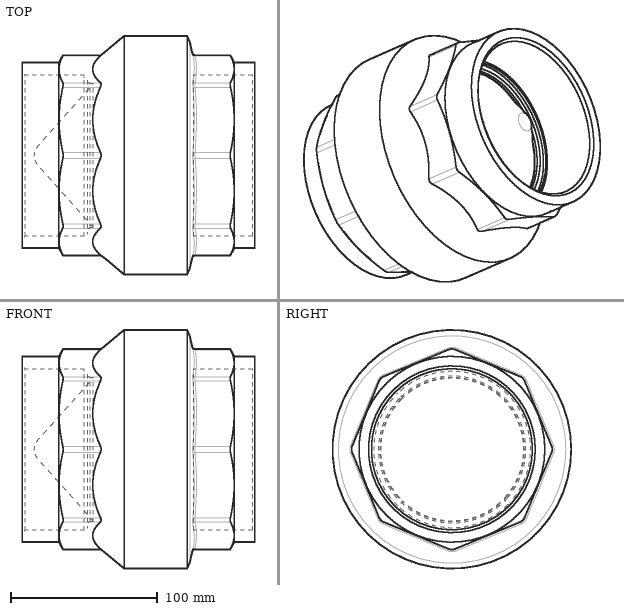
import cadquery as cq
import math

length = 159.0
inlet_rim_length = 25.1
outlet_rim_length = 14.0
corner_chamfer_length = 3.0
drum_start = 69.6
drum_end = 112.6
shoulder_start = 114.5
shoulder_end = 116.5

drum_radius = 81.5
shoulder_radius = 77.6
rim_radius = 63.4

flat_count = 8
corner_radius = 68.5
corner_fillet = 5.5
half_sector = math.pi / flat_count
sharp_corner_radius = corner_radius + corner_fillet * (1 / math.cos(half_sector) - 1)
octagon_start = inlet_rim_length
octagon_end = length - outlet_rim_length
shoulder_fillet = 1.6
root_overlap = 3.3

inlet_cone_length = 15.6

bore_radius = 55.0
bore_depth = 42.0
mouth_chamfer = 2.0

ledge_radius = 53.5
ledge_depth = 44.3
seat_outer_radius = 50.2
seat_inner_radius = 49.2
seat_depth = 46.3
floor_depth = 48.2

disc_radius = 48.7
disc_half_angle = math.radians(48.3)
tip_radius = 9.8


def revolve_about_x(profile):
    """Turn a closed (x, radius) profile about the X axis."""
    return profile.close().revolve(360, (0, 0, 0), (1, 0, 0))


def make_rims():
    return cq.Workplane("YZ").circle(rim_radius).extrude(length)


def make_octagon():
    prism = (
        cq.Workplane("YZ", origin=(octagon_start, 0, 0))
        .polygon(flat_count, 2 * sharp_corner_radius)
        .extrude(octagon_end - octagon_start)
        .edges("|X")
        .fillet(corner_fillet)
    )
    chamfer_slope = (corner_radius - rim_radius) / corner_chamfer_length
    chamfer_reach = (sharp_corner_radius - rim_radius) / chamfer_slope
    envelope = revolve_about_x(
        cq.Workplane("XY")
        .moveTo(octagon_start, 0)
        .lineTo(octagon_start, rim_radius)
        .lineTo(octagon_start + chamfer_reach, sharp_corner_radius)
        .lineTo(octagon_end - chamfer_reach, sharp_corner_radius)
        .lineTo(octagon_end, rim_radius)
        .lineTo(octagon_end, 0)
    )
    return prism.intersect(envelope)


def make_drum():
    root_radius = rim_radius - root_overlap
    inlet_slope = inlet_cone_length / (drum_radius - corner_radius)
    shoulder_slope = (shoulder_end - shoulder_start) / (shoulder_radius - corner_radius)
    inlet_root = drum_start - inlet_slope * (drum_radius - root_radius)
    shoulder_root = shoulder_start + shoulder_slope * (shoulder_radius - root_radius)
    return revolve_about_x(
        cq.Workplane("XY")
        .moveTo(inlet_root, 0)
        .lineTo(inlet_root, root_radius)
        .lineTo(drum_start, drum_radius)
        .lineTo(drum_end, drum_radius)
        .lineTo(shoulder_start, shoulder_radius)
        .lineTo(shoulder_root, root_radius)
        .lineTo(shoulder_root, 0)
    )


def fillet_shoulder(body):
    """Round the corner where the shoulder meets the octagon."""
    margin = 1.6
    corner_zone = cq.selectors.BoxSelector(
        (shoulder_end - margin, -drum_radius, -drum_radius),
        (shoulder_end + margin, drum_radius, drum_radius),
    )
    return body.edges(corner_zone).fillet(shoulder_fillet)


def make_inlet_cavity():
    """Stepped socket and seat, leaving the conical disc standing inside."""
    tip_edge_radius = tip_radius * math.cos(disc_half_angle)
    tip_edge_depth = floor_depth - (disc_radius - tip_edge_radius) / math.tan(disc_half_angle)
    tip_center = tip_edge_depth + tip_radius * math.sin(disc_half_angle)
    tip_depth = tip_center - tip_radius
    mid_angle = (math.pi / 2 - disc_half_angle) / 2
    tip_mid = (tip_center - tip_radius * math.cos(mid_angle), tip_radius * math.sin(mid_angle))
    return revolve_about_x(
        cq.Workplane("XY")
        .moveTo(0, 0)
        .lineTo(0, bore_radius + mouth_chamfer)
        .lineTo(mouth_chamfer, bore_radius)
        .lineTo(bore_depth, bore_radius)
        .lineTo(bore_depth, ledge_radius)
        .lineTo(ledge_depth, ledge_radius)
        .lineTo(ledge_depth, seat_outer_radius)
        .lineTo(seat_depth, seat_inner_radius)
        .lineTo(floor_depth, seat_inner_radius)
        .lineTo(floor_depth, disc_radius)
        .lineTo(tip_edge_depth, tip_edge_radius)
        .threePointArc(tip_mid, (tip_depth, 0))
    )


def make_outlet_socket():
    return revolve_about_x(
        cq.Workplane("XY")
        .moveTo(length, 0)
        .lineTo(length, bore_radius + mouth_chamfer)
        .lineTo(length - mouth_chamfer, bore_radius)
        .lineTo(length - bore_depth, bore_radius)
        .lineTo(length - bore_depth, 0)
    )


body = fillet_shoulder(make_octagon().union(make_drum()))
result = body.union(make_rims()).cut(make_inlet_cavity()).cut(make_outlet_socket())